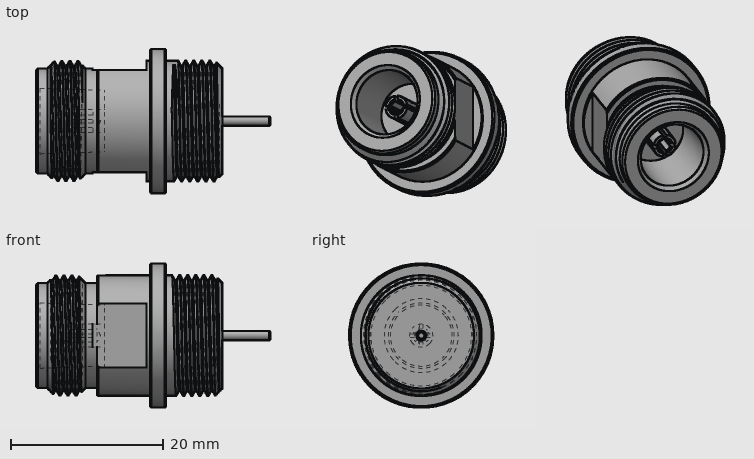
import cadquery as cq
import math


NECK_START = 6.5
BARREL_START = 8.0
FLANGE_START = 15.0
FLANGE_END = 17.13
BODY_END = 24.5
PIN_END = 30.85

NECK_RADIUS = 6.92
FACE_CHAMFER = 0.3
FRONT_THREAD_START = 1.5
FRONT_THREAD_RADIUS = 7.9
BARREL_RADIUS = 7.95
BARREL_CHAMFER = 0.2
REAR_CHAMFER = 1.0
FLANGE_RADIUS = 9.5
FLANGE_CHAMFER = 0.22
FLAT_START = 7.45
FLAT_END = 14.52
FLAT_DISTANCE = 6.75

SEAM_ANGLE = 20

PITCH = 25.4 / 24
ROOT_RADIUS = 7.3
FLANK_ANGLE = 30.0
CREST_FLAT = 0.08
GROOVE_OVERSHOOT = 0.05
FRONT_GROOVE_START = 1.56
FRONT_GROOVE_TURNS = 4.5
FRONT_GROOVE_ANGLE = 0
REAR_GROOVE_START = 18.34
REAR_GROOVE_TURNS = 5.7
REAR_GROOVE_ANGLE = 169
RUN_IN_TURN = 66.0 / 360
RUN_IN_RISE = 0.75

BORE_MOUTH_RADIUS = 4.87
BORE_RADIUS = 4.31
BORE_FLOOR_RADIUS = 4.04
BORE_LEAD_IN = 0.56
BORE_DEPTH = 9.0

CONTACT_TIP = 4.0
CONTACT_RADIUS = 1.52
SOCKET_RADIUS = 0.86
SOCKET_MOUTH_RADIUS = 1.06
SOCKET_END = 8.0
SOCKET_POINT_ANGLE = 118.0
SLOT_WIDTH = 0.46
SLOT_END = 7.5

PIN_RADIUS = 0.62
PIN_CHAMFER = 0.2


def revolve_about_x(points):
    """Solid of revolution about X from (axial, radial) points."""
    return cq.Workplane("XY").polyline(points).close().revolve(360, (0, 0, 0), (1, 0, 0))


def make_body():
    """Both threaded ends, still unthreaded, with the neck, the barrel and the flange."""
    front_rise = FRONT_THREAD_RADIUS - NECK_RADIUS
    turned = revolve_about_x([
        (0, 0),
        (0, NECK_RADIUS - FACE_CHAMFER),
        (FACE_CHAMFER, NECK_RADIUS),
        (FRONT_THREAD_START, NECK_RADIUS),
        (FRONT_THREAD_START + front_rise, FRONT_THREAD_RADIUS),
        (NECK_START - front_rise, FRONT_THREAD_RADIUS),
        (NECK_START, NECK_RADIUS),
        (BARREL_START, NECK_RADIUS),
        (BARREL_START, BARREL_RADIUS - BARREL_CHAMFER),
        (BARREL_START + BARREL_CHAMFER, BARREL_RADIUS),
        (FLANGE_START, BARREL_RADIUS),
        (FLANGE_START, FLANGE_RADIUS - FLANGE_CHAMFER),
        (FLANGE_START + FLANGE_CHAMFER, FLANGE_RADIUS),
        (FLANGE_END - FLANGE_CHAMFER, FLANGE_RADIUS),
        (FLANGE_END, FLANGE_RADIUS - FLANGE_CHAMFER),
        (FLANGE_END, BARREL_RADIUS),
        (BODY_END - REAR_CHAMFER, BARREL_RADIUS),
        (BODY_END, BARREL_RADIUS - REAR_CHAMFER),
        (BODY_END, 0),
    ])
    return turned.rotate((0, 0, 0), (1, 0, 0), SEAM_ANGLE)


def make_flat_cutters():
    """Blocks that leave two wrench flats, one on each side of the axis in Y."""
    length = FLAT_END - FLAT_START
    depth = FLANGE_RADIUS - FLAT_DISTANCE
    side = cq.Workplane("XY").box(length, depth, 2 * FLANGE_RADIUS)
    side = side.translate((FLAT_START + length / 2, FLAT_DISTANCE + depth / 2, 0))
    return side.union(side.mirror("XZ"))


def make_groove_profile(crest_radius):
    """Trapezoidal groove section in the XZ plane, for a thread that runs along Z."""
    flank_slope = math.tan(math.radians(FLANK_ANGLE))
    half_root = (PITCH - CREST_FLAT) / 2 - (crest_radius - ROOT_RADIUS) * flank_slope
    outer_radius = crest_radius + GROOVE_OVERSHOOT
    half_outer = half_root + (outer_radius - ROOT_RADIUS) * flank_slope
    return cq.Workplane("XZ").polyline([
        (ROOT_RADIUS, -half_root),
        (outer_radius, -half_outer),
        (outer_radius, half_outer),
        (ROOT_RADIUS, half_root),
    ]).close()


def place_groove(groove, start, start_angle):
    """Moves a groove from Z onto X. The start angle turns about +X from the -Z side."""
    groove = groove.rotate((0, 0, 0), (0, 1, 0), 90)
    groove = groove.rotate((0, 0, 0), (1, 0, 0), start_angle)
    return groove.translate((start, 0, 0))


def make_thread_groove(crest_radius, start, turns, start_angle):
    """Right-hand groove of full depth."""
    helix = cq.Wire.makeHelix(PITCH, turns * PITCH, ROOT_RADIUS)
    groove = make_groove_profile(crest_radius).sweep(cq.Workplane(obj=helix), isFrenet=True)
    return place_groove(groove, start, start_angle)


def make_groove_run_in(crest_radius, start, start_angle):
    """Stretch before the start of a groove, in which it sinks gradually to full depth."""
    length = RUN_IN_TURN * PITCH
    cone_angle = math.degrees(math.atan(RUN_IN_RISE / length))
    slant = math.hypot(length, RUN_IN_RISE)
    slant_pitch = slant / RUN_IN_TURN
    helix = cq.Wire.makeHelix(slant_pitch, slant, ROOT_RADIUS, angle=cone_angle, lefthand=True)
    groove = make_groove_profile(crest_radius).sweep(cq.Workplane(obj=helix), isFrenet=True)
    return place_groove(groove.mirror("XY"), start, start_angle)


def make_bore():
    """Tapered mating bore with a conical lead-in."""
    return revolve_about_x([
        (0, 0),
        (0, BORE_MOUTH_RADIUS),
        (BORE_LEAD_IN, BORE_RADIUS),
        (BORE_DEPTH, BORE_FLOOR_RADIUS),
        (BORE_DEPTH, 0),
    ])


def make_contact():
    """Centre contact with a drilled, countersunk socket and four slots."""
    post = revolve_about_x([
        (CONTACT_TIP, 0),
        (CONTACT_TIP, CONTACT_RADIUS),
        (BORE_DEPTH, CONTACT_RADIUS),
        (BORE_DEPTH, 0),
    ])
    point_depth = SOCKET_RADIUS / math.tan(math.radians(SOCKET_POINT_ANGLE / 2))
    socket = revolve_about_x([
        (CONTACT_TIP, 0),
        (CONTACT_TIP, SOCKET_MOUTH_RADIUS),
        (CONTACT_TIP + SOCKET_MOUTH_RADIUS - SOCKET_RADIUS, SOCKET_RADIUS),
        (SOCKET_END, SOCKET_RADIUS),
        (SOCKET_END + point_depth, 0),
    ])
    slot_length = SLOT_END - CONTACT_TIP
    slot = cq.Workplane("XY").box(slot_length, 2 * BORE_RADIUS, SLOT_WIDTH)
    slot = slot.translate((CONTACT_TIP + slot_length / 2, 0, 0))
    crossed_slot = slot.rotate((0, 0, 0), (1, 0, 0), 90)
    return post.cut(socket).cut(slot).cut(crossed_slot)


def make_pin():
    """Solder pin with a chamfered tip."""
    return revolve_about_x([
        (BODY_END, 0),
        (BODY_END, PIN_RADIUS),
        (PIN_END - PIN_CHAMFER, PIN_RADIUS),
        (PIN_END, PIN_RADIUS - PIN_CHAMFER),
        (PIN_END, 0),
    ])


front_groove = make_thread_groove(
    FRONT_THREAD_RADIUS, FRONT_GROOVE_START, FRONT_GROOVE_TURNS, FRONT_GROOVE_ANGLE
)
rear_groove = make_thread_groove(
    BARREL_RADIUS, REAR_GROOVE_START, REAR_GROOVE_TURNS, REAR_GROOVE_ANGLE
)
rear_run_in = make_groove_run_in(BARREL_RADIUS, REAR_GROOVE_START, REAR_GROOVE_ANGLE)

body = make_body().cut(front_groove).cut(rear_groove).cut(rear_run_in)
body = body.cut(make_flat_cutters()).cut(make_bore())
result = body.union(make_contact()).union(make_pin())